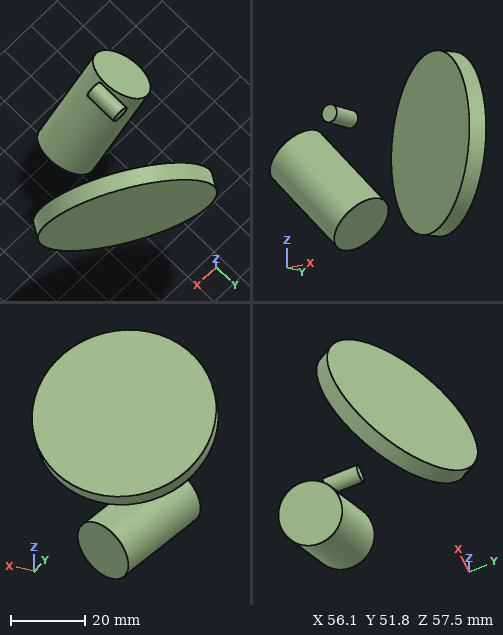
import cadquery as cq
import math

overall_height = 57.55

barrel_diameter = 18.0
barrel_length = 30.0
barrel_tilt = 45.0

disc_diameter = 50.0
disc_thickness = 5.0
disc_turn = 30.0
disc_face_x = 14.95
disc_face_y = 26.0

pin_diameter = 5.0
pin_length = 10.0
pin_height = 21.1

tilt = math.radians(barrel_tilt)
barrel_half_height = barrel_length / 2 * math.sin(tilt) + barrel_diameter / 2 * math.cos(tilt)
disc_face_z = overall_height - barrel_half_height - disc_diameter / 2


def make_cylinder(base_centre, axis, diameter, length):
    """Solid cylinder that starts at base_centre and runs along axis."""
    return cq.Solid.makeCylinder(diameter / 2, length, cq.Vector(*base_centre), cq.Vector(*axis))


def make_barrel():
    """Thick cylinder centred on the origin, sloping down toward +X."""
    axis = (math.cos(tilt), 0, -math.sin(tilt))
    base_centre = [-barrel_length / 2 * component for component in axis]
    return make_cylinder(base_centre, axis, barrel_diameter, barrel_length)


def make_disc():
    """Upright round plate, turned about Z, thickened away from its front face."""
    turn = math.radians(disc_turn)
    axis = (math.sin(turn), math.cos(turn), 0)
    face_centre = (disc_face_x, disc_face_y, disc_face_z)
    return make_cylinder(face_centre, axis, disc_diameter, disc_thickness)


def make_pin():
    """Small cylinder above the barrel, running along +Y."""
    return make_cylinder((0, 0, pin_height), (0, 1, 0), pin_diameter, pin_length)


barrel = make_barrel()
disc = make_disc()
pin = make_pin()

result = cq.Compound.makeCompound([barrel, disc, pin])